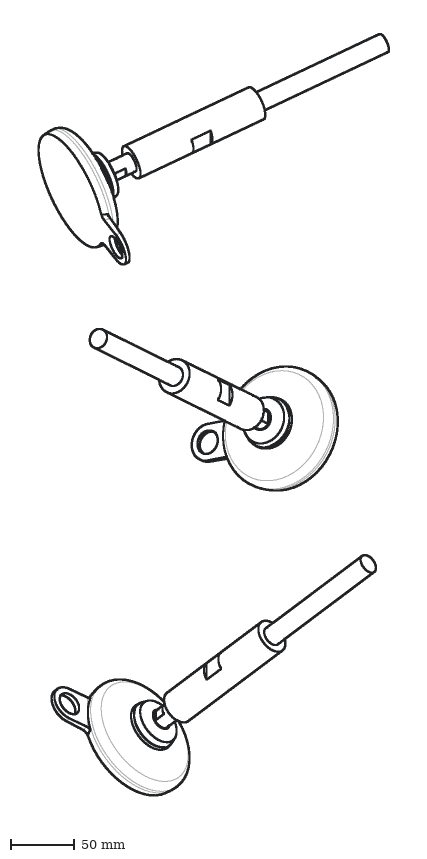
import cadquery as cq
import math

total_length = 290.0

rod_diameter = 16.0
sleeve_diameter = 28.0
sleeve_start = 56.0
sleeve_length = 115.7
sleeve_flat_width = 22.3
sleeve_flat_length = 17.7
rod_flat_width = 12.8
rod_flat_start = 36.8
rod_flat_length = 10.0

foot_radius = 100.0 / 2
pad_bottom_radius = 49.0
pad_height = 6.0
rim_top = 8.7
shoulder_radius = 45.0
shoulder_height = 15.7
cone_top_radius = 21.0
cone_top_height = 23.8
groove_radius = 19.5
groove_height = 25.8
collar_radius = 20.5
collar_bottom = 27.0
collar_top_radius = 18.8
collar_top = 32.5
dome_top_radius = 8.7
dome_top = 36.0
shoulder_bulge = 1.5

overall_width = 133.0
tab_half_width = 15.0
tab_hole_diameter = 19.0
tab_root_fillet = 5.8
tab_root_thickness = 5.2
tab_tip_thickness = 3.5
tab_end = overall_width - foot_radius
tab_center = tab_end - tab_half_width


def cylinder(diameter, start, length):
    """Cylinder on the Y axis, running toward +Y from start."""
    plane = cq.Workplane("XZ", origin=(0, start, 0))
    return plane.circle(diameter / 2).extrude(-length)


def cut_flats(body, across, start, length):
    """Cut two opposite wrench flats, facing -X and +X."""
    block_size = sleeve_diameter
    for side in (-1, 1):
        block = cq.Workplane("XY").box(block_size, length, block_size)
        center = (side * (across + block_size) / 2, start + length / 2, 0)
        body = body.cut(block.translate(center))
    return body


def make_spindle():
    """Rod standing on the foot, with a thicker sleeve section."""
    rod = cylinder(rod_diameter, dome_top, total_length - dome_top)
    rod = cut_flats(rod, rod_flat_width, rod_flat_start, rod_flat_length)
    sleeve = cylinder(sleeve_diameter, sleeve_start, sleeve_length)
    sleeve_flat_start = sleeve_start + (sleeve_length - sleeve_flat_length) / 2
    sleeve = cut_flats(sleeve, sleeve_flat_width, sleeve_flat_start, sleeve_flat_length)
    return rod.union(sleeve)


def make_base():
    """Revolved foot: pad, rounded shoulder, cone, grooved collar and low top."""
    chord_x = shoulder_radius - foot_radius
    chord_y = shoulder_height - rim_top
    chord = math.hypot(chord_x, chord_y)
    shoulder_middle = (
        (foot_radius + shoulder_radius) / 2 + shoulder_bulge * chord_y / chord,
        (rim_top + shoulder_height) / 2 - shoulder_bulge * chord_x / chord,
    )
    profile = (
        cq.Workplane("XY")
        .lineTo(pad_bottom_radius, 0)
        .lineTo(foot_radius, pad_height)
        .lineTo(foot_radius, rim_top)
        .threePointArc(shoulder_middle, (shoulder_radius, shoulder_height))
        .lineTo(cone_top_radius, cone_top_height)
        .lineTo(groove_radius, groove_height)
        .lineTo(collar_radius, collar_bottom)
        .lineTo(collar_top_radius, collar_top)
        .lineTo(dome_top_radius, dome_top)
        .lineTo(0, dome_top)
        .close()
    )
    return profile.revolve(360, (0, 0, 0), (0, 1, 0))


def make_tab():
    """Round-ended tab with a hole, filleted into the pad and thinning toward its tip."""
    fillet_z = tab_half_width + tab_root_fillet
    center_distance = pad_bottom_radius + tab_root_fillet
    fillet_x = math.sqrt(center_distance**2 - fillet_z**2)
    touch_ratio = pad_bottom_radius / center_distance
    touch_x = fillet_x * touch_ratio
    touch_z = fillet_z * touch_ratio

    start_angle = math.atan2(-fillet_z, -fillet_x)
    middle_angle = (start_angle - math.pi / 2) / 2
    middle_x = fillet_x + tab_root_fillet * math.cos(middle_angle)
    middle_z = fillet_z + tab_root_fillet * math.sin(middle_angle)

    plate = (
        cq.Workplane("XZ")
        .moveTo(0, touch_z)
        .lineTo(touch_x, touch_z)
        .threePointArc((middle_x, middle_z), (fillet_x, tab_half_width))
        .lineTo(tab_center, tab_half_width)
        .threePointArc((tab_end, 0), (tab_center, -tab_half_width))
        .lineTo(fillet_x, -tab_half_width)
        .threePointArc((middle_x, -middle_z), (touch_x, -touch_z))
        .lineTo(0, -touch_z)
        .close()
        .extrude(-pad_height)
    )
    wedge = (
        cq.Workplane("XY")
        .polyline([
            (0, 0),
            (tab_end, 0),
            (tab_end, tab_tip_thickness),
            (foot_radius, tab_root_thickness),
            (0, tab_root_thickness),
        ])
        .close()
        .extrude(touch_z, both=True)
    )
    hole = cylinder(tab_hole_diameter, 0, pad_height).translate((tab_center, 0, 0))
    return plate.intersect(wedge).cut(hole)


def make_foot():
    """Foot with its hanging tab as one solid."""
    return make_base().union(make_tab())


foot = make_foot()
spindle = make_spindle()

result = cq.Compound.makeCompound([foot.val(), spindle.val()])